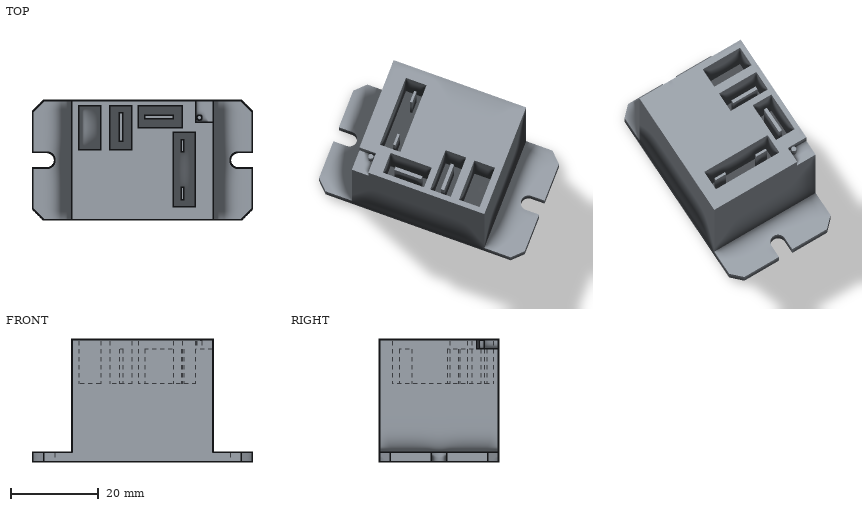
import cadquery as cq

FLANGE_LENGTH = 50.0
BODY_DEPTH = 27.2
TOTAL_HEIGHT = 27.9
FLANGE_THICKNESS = 2.25
BLOCK_LENGTH = 32.2
CORNER_CHAMFER = 2.5

SLOT_WIDTH = 3.55
SLOT_REACH = 5.0

POCKET_WIDTH = 5.0
POCKET_LENGTH = 10.0
LONG_POCKET_LENGTH = 17.0
POCKET_DEPTH = 10.0
SPARE_POCKET_CENTER = (-12.0, 7.4)
UPRIGHT_POCKET_CENTER = (-5.0, 7.4)
LEVEL_POCKET_CENTER = (4.0, 9.9)
LONG_POCKET_CENTER = (9.5, -2.1)

BLADE_RECESS = 2.1
WIDE_BLADE_WIDTH = 6.5
WIDE_BLADE_THICKNESS = 0.8
NARROW_BLADE_WIDTH = 2.8
NARROW_BLADE_THICKNESS = 0.55
UPRIGHT_BLADE_CENTER = (-4.9, 7.6)
LEVEL_BLADE_CENTER = (3.75, 9.85)
NARROW_BLADE_X = 9.1
NARROW_BLADE_MID_Y = -2.15
NARROW_BLADE_SPACING = 10.9

STEP_LENGTH = 4.0
STEP_WIDTH = 4.95
STEP_DEPTH = 2.15
PIN_DIAMETER = 1.15
PIN_HEIGHT = 2.0
PIN_CENTER = (12.95, 9.7)


def box_below(top, center, size_x, size_y, height):
    """Box hanging down from the level `top`, centred on `center` in plan."""
    return (
        cq.Workplane("XY")
        .workplane(offset=top - height)
        .center(*center)
        .rect(size_x, size_y)
        .extrude(height)
    )


def make_flange():
    flange = (
        cq.Workplane("XY")
        .rect(FLANGE_LENGTH, BODY_DEPTH)
        .extrude(FLANGE_THICKNESS)
        .edges("|Z")
        .chamfer(CORNER_CHAMFER)
    )
    slots = (
        cq.Workplane("XY")
        .pushPoints([(-FLANGE_LENGTH / 2, 0), (FLANGE_LENGTH / 2, 0)])
        .slot2D(2 * SLOT_REACH, SLOT_WIDTH)
        .extrude(FLANGE_THICKNESS)
    )
    return flange.cut(slots)


def make_block():
    return cq.Workplane("XY").rect(BLOCK_LENGTH, BODY_DEPTH).extrude(TOTAL_HEIGHT)


def cut_pockets(body):
    pockets = [
        (SPARE_POCKET_CENTER, POCKET_WIDTH, POCKET_LENGTH),
        (UPRIGHT_POCKET_CENTER, POCKET_WIDTH, POCKET_LENGTH),
        (LEVEL_POCKET_CENTER, POCKET_LENGTH, POCKET_WIDTH),
        (LONG_POCKET_CENTER, POCKET_WIDTH, LONG_POCKET_LENGTH),
    ]
    for center, size_x, size_y in pockets:
        body = body.cut(box_below(TOTAL_HEIGHT, center, size_x, size_y, POCKET_DEPTH))
    return body


def add_blades(body):
    narrow_blade_centers = [
        (NARROW_BLADE_X, NARROW_BLADE_MID_Y + side * NARROW_BLADE_SPACING / 2) for side in (-1, 1)
    ]
    blades = [
        (UPRIGHT_BLADE_CENTER, WIDE_BLADE_THICKNESS, WIDE_BLADE_WIDTH),
        (LEVEL_BLADE_CENTER, WIDE_BLADE_WIDTH, WIDE_BLADE_THICKNESS),
    ]
    for center in narrow_blade_centers:
        blades.append((center, NARROW_BLADE_THICKNESS, NARROW_BLADE_WIDTH))
    blade_top = TOTAL_HEIGHT - BLADE_RECESS
    blade_height = POCKET_DEPTH - BLADE_RECESS
    for center, size_x, size_y in blades:
        body = body.union(box_below(blade_top, center, size_x, size_y, blade_height))
    return body


def make_corner_step(body):
    step_center = ((BLOCK_LENGTH - STEP_LENGTH) / 2, (BODY_DEPTH - STEP_WIDTH) / 2)
    body = body.cut(box_below(TOTAL_HEIGHT, step_center, STEP_LENGTH, STEP_WIDTH, STEP_DEPTH))
    pin = (
        cq.Workplane("XY")
        .workplane(offset=TOTAL_HEIGHT - STEP_DEPTH)
        .center(*PIN_CENTER)
        .circle(PIN_DIAMETER / 2)
        .extrude(PIN_HEIGHT)
    )
    return body.union(pin)


body = make_flange().union(make_block())
body = cut_pockets(body)
body = add_blades(body)
result = make_corner_step(body)